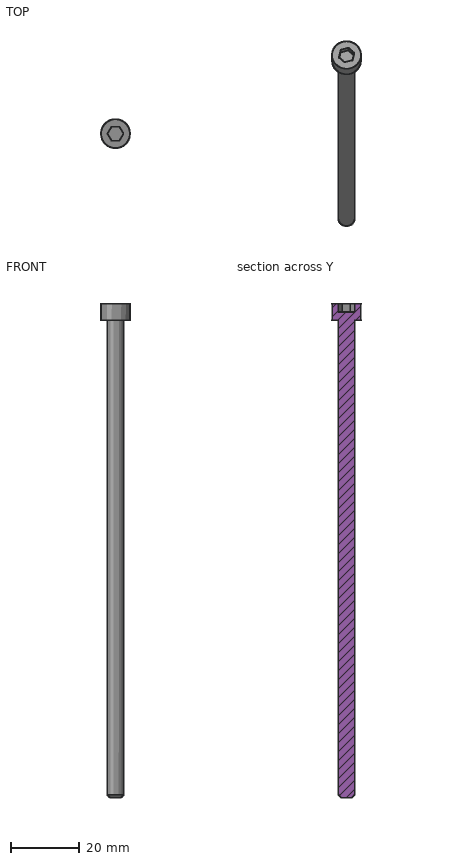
import cadquery as cq
import math

total_length = 145.0
head_diameter = 8.5
shank_diameter = 5.0
head_height = shank_diameter
tip_chamfer = 0.9
socket_across_flats = 4.0
socket_depth = head_height / 2

hexagon_sides = 6
shank_length = total_length - head_height
socket_across_corners = socket_across_flats / math.cos(math.pi / hexagon_sides)


def shank():
    """Smooth cylinder with a chamfered tip at the bottom."""
    cylinder = cq.Workplane("XY").circle(shank_diameter / 2).extrude(shank_length)
    return cylinder.faces("<Z").chamfer(tip_chamfer)


def head():
    """Plain cylindrical head on top of the shank."""
    base = cq.Workplane("XY").workplane(offset=shank_length)
    return base.circle(head_diameter / 2).extrude(head_height)


def hex_socket():
    """Blind hexagonal key socket, with two corners along X."""
    top = cq.Workplane("XY").workplane(offset=total_length)
    return top.polygon(hexagon_sides, socket_across_corners).extrude(-socket_depth)


result = shank().union(head()).cut(hex_socket())